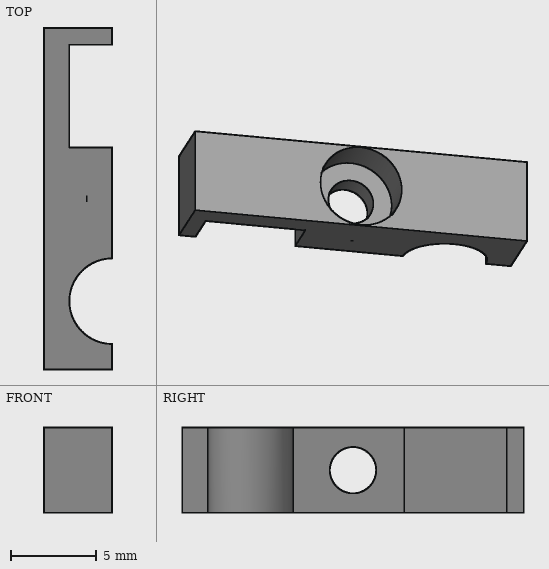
import cadquery as cq

width = 4.0
length = 20.0
height = 5.0

back_wall = 1.5
recess_depth = width - back_wall

end_wall = 1.0
pocket_length = 6.0

round_recess_radius = recess_depth
round_recess_offset = 4.0

screw_hole_diameter = 2.7
head_diameter = 4.9
head_depth = 2.5

open_face_x = width / 2
back_face_x = -width / 2


def make_block():
    return cq.Workplane("XY").box(width, length, height)


def make_rectangular_recess():
    center_x = open_face_x - recess_depth / 2
    center_y = length / 2 - end_wall - pocket_length / 2
    return (
        cq.Workplane("XY")
        .box(recess_depth, pocket_length, height)
        .translate((center_x, center_y, 0))
    )


def make_round_recess():
    center_y = -length / 2 + round_recess_offset
    return (
        cq.Workplane("XY", origin=(open_face_x, center_y, 0))
        .circle(round_recess_radius)
        .extrude(height / 2, both=True)
    )


def make_screw_hole():
    entry = cq.Workplane("YZ", origin=(back_face_x, 0, 0))
    shank = entry.circle(screw_hole_diameter / 2).extrude(width)
    head = entry.circle(head_diameter / 2).extrude(head_depth)
    return shank.union(head)


result = (
    make_block()
    .cut(make_rectangular_recess())
    .cut(make_round_recess())
    .cut(make_screw_hole())
)